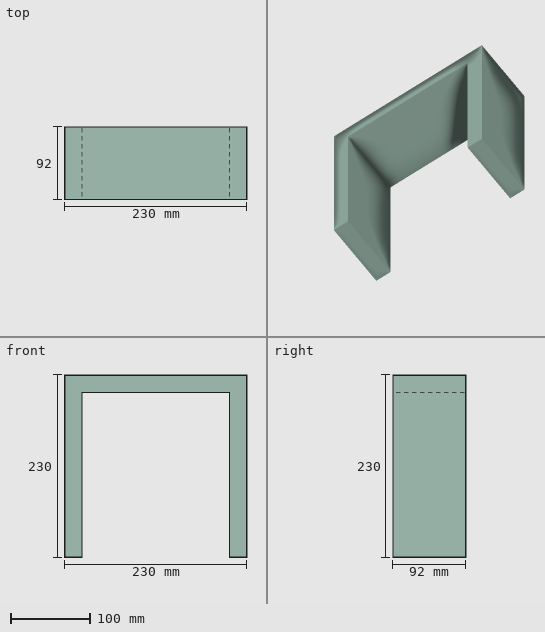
import cadquery as cq

width = 230.0
depth = 92.0
height = 230.0

wall = 22.0

block = cq.Workplane("XY").box(width, depth, height, centered=(True, True, False))

opening = cq.Workplane("XY").box(
    width - 2 * wall, depth, height - wall, centered=(True, True, False)
)

result = block.cut(opening)